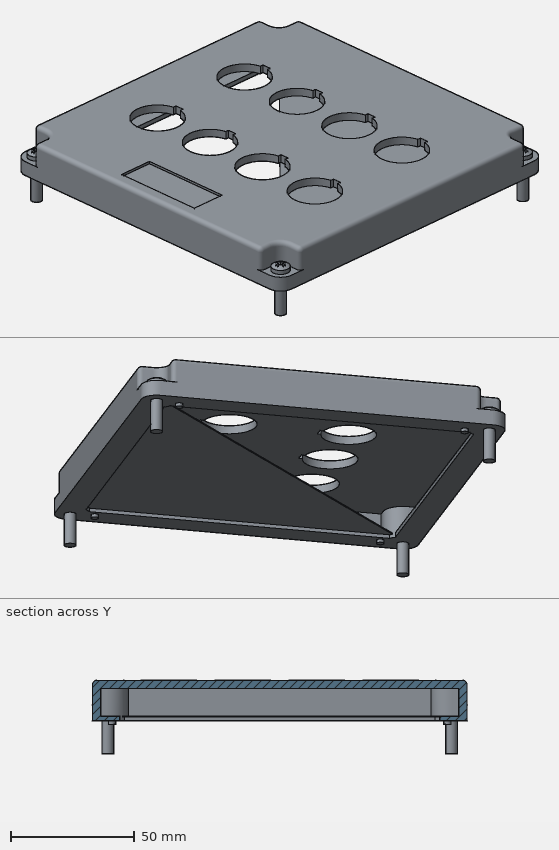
import cadquery as cq
import math

SIDE = 152.0
COVER_HEIGHT = 16.5
TOTAL_HEIGHT = 30.0
CORNER_RADIUS = 6.4
EDGE_RADIUS = 2.0
TOP_THICKNESS = 3.5
WALL_THICKNESS = 3.5

RECESS_RADIUS = 4.9
RECESS_DEPTH = 10.2
RECESS_SIZE = CORNER_RADIUS + RECESS_RADIUS
SCREW_OFFSET = SIDE / 2 - CORNER_RADIUS

SHANK_RADIUS = 2.5
HEAD_RADIUS = 4.0
HEAD_TOP_Z = -7.0
HEAD_RIM_Z = -8.4
CROSS_LENGTH = 4.5
CROSS_WIDTH = 1.2
CROSS_DEPTH = 1.5

HOLE_RADIUS = 11.2
HOLE_COLUMNS = 4
HOLE_ROWS = 2
COLUMN_PITCH = 30.0
ROW_PITCH = 50.0
KEY_WIDTH = 4.0
KEY_REACH = 12.6

LABEL_LENGTH = 41.5
LABEL_WIDTH = 16.0
LABEL_DEPTH = 1.0
LABEL_Y = -62.0

PEG_RADIUS = 1.5
PEG_LENGTH = 1.4
PEG_X = 68.0
PEG_Y = 59.7

CAVITY_SIDE = SIDE - 2 * WALL_THICKNESS
LIP_THICKNESS = 2.0
LIP_TOP_Z = LIP_THICKNESS - COVER_HEIGHT
LIP_OPENING = SIDE - 2 * RECESS_SIZE
FLOOR_THICKNESS = 0.5


def four_corners(x, y):
    """The four mirror images of a point about the X and Y axes."""
    return [(sx * x, sy * y) for sx in (-1, 1) for sy in (-1, 1)]


def notched_block(side, notch, notch_radius, top_z, bottom_z):
    """Square block whose corners are cut out by squares with a rounded inner corner."""
    height = top_z - bottom_z
    block = cq.Workplane("XY").workplane(offset=bottom_z).rect(side, side).extrude(height)
    cutter = (
        cq.Workplane("XY")
        .workplane(offset=bottom_z)
        .pushPoints(four_corners(side / 2, side / 2))
        .rect(2 * notch, 2 * notch)
        .extrude(height)
        .edges("|Z")
        .fillet(notch_radius)
    )
    return block.cut(cutter)


def cover_outside():
    base = (
        cq.Workplane("XY")
        .workplane(offset=-COVER_HEIGHT)
        .rect(SIDE, SIDE)
        .extrude(COVER_HEIGHT - RECESS_DEPTH)
        .edges("|Z")
        .fillet(CORNER_RADIUS)
    )
    raised = notched_block(SIDE, RECESS_SIZE, RECESS_RADIUS, 0, -RECESS_DEPTH)
    for side_face in ("<X", ">X", "<Y", ">Y"):
        raised = raised.faces(side_face).edges("|Z").fillet(EDGE_RADIUS)
    raised = raised.faces(">Z").edges().fillet(EDGE_RADIUS)
    return base.union(raised)


def cavity():
    """Hollow that keeps an even wall along the sides and around the recesses."""
    return notched_block(
        CAVITY_SIDE,
        RECESS_SIZE,
        RECESS_RADIUS + WALL_THICKNESS,
        -TOP_THICKNESS,
        -COVER_HEIGHT,
    )


def button_holes():
    grid = cq.Workplane("XY").rarray(COLUMN_PITCH, ROW_PITCH, HOLE_COLUMNS, HOLE_ROWS)
    bores = grid.circle(HOLE_RADIUS).extrude(-TOP_THICKNESS)
    key = cq.Workplane("XY").rect(KEY_WIDTH, KEY_REACH).extrude(-TOP_THICKNESS)
    key = key.translate((0, KEY_REACH / 2, 0)).val()
    keys = grid.eachpoint(lambda place: key.moved(place), combine=False)
    return bores.union(keys)


def label_pocket():
    pocket = cq.Workplane("XY").center(0, LABEL_Y).rect(LABEL_LENGTH, LABEL_WIDTH)
    return pocket.extrude(-LABEL_DEPTH)


def lip():
    """Square frame that narrows the open underside."""
    start = cq.Workplane("XY").workplane(offset=LIP_TOP_Z)
    frame = start.rect(CAVITY_SIDE, CAVITY_SIDE).rect(LIP_OPENING, LIP_OPENING)
    return frame.extrude(-LIP_THICKNESS)


def half_floor():
    """Triangular web over the +X +Y half of the underside, flush with the top of the lip."""
    reach = CAVITY_SIDE / 2
    return (
        cq.Workplane("XY")
        .workplane(offset=LIP_TOP_Z)
        .polyline([(-reach, reach), (reach, reach), (reach, -reach)])
        .close()
        .extrude(-FLOOR_THICKNESS)
    )


def screw():
    """Dome-head screw with a cross drive, on the Z axis."""
    cap_height = HEAD_TOP_Z - HEAD_RIM_Z
    cap_radius = (HEAD_RADIUS**2 + cap_height**2) / (2 * cap_height)
    mid_radius = HEAD_RADIUS / 2
    mid_z = HEAD_TOP_Z - cap_radius + math.sqrt(cap_radius**2 - mid_radius**2)
    body = (
        cq.Workplane("XZ")
        .moveTo(0, -TOTAL_HEIGHT)
        .lineTo(SHANK_RADIUS, -TOTAL_HEIGHT)
        .lineTo(SHANK_RADIUS, -RECESS_DEPTH)
        .lineTo(HEAD_RADIUS, -RECESS_DEPTH)
        .lineTo(HEAD_RADIUS, HEAD_RIM_Z)
        .threePointArc((mid_radius, mid_z), (0, HEAD_TOP_Z))
        .close()
        .revolve(360, (0, 0), (0, 1))
    )
    drive = cq.Workplane("XY").workplane(offset=HEAD_TOP_Z)
    for length, width in ((CROSS_LENGTH, CROSS_WIDTH), (CROSS_WIDTH, CROSS_LENGTH)):
        body = body.cut(drive.rect(length, width).extrude(-CROSS_DEPTH))
    return body


def pegs():
    spots = cq.Workplane("XY").workplane(offset=-COVER_HEIGHT).pushPoints(four_corners(PEG_X, PEG_Y))
    return spots.circle(PEG_RADIUS).extrude(-PEG_LENGTH)


result = cover_outside().cut(cavity()).cut(button_holes()).cut(label_pocket())
result = result.union(lip().union(half_floor(), clean=True)).union(pegs())
for x, y in four_corners(SCREW_OFFSET, SCREW_OFFSET):
    result = result.union(screw().translate((x, y, 0)))